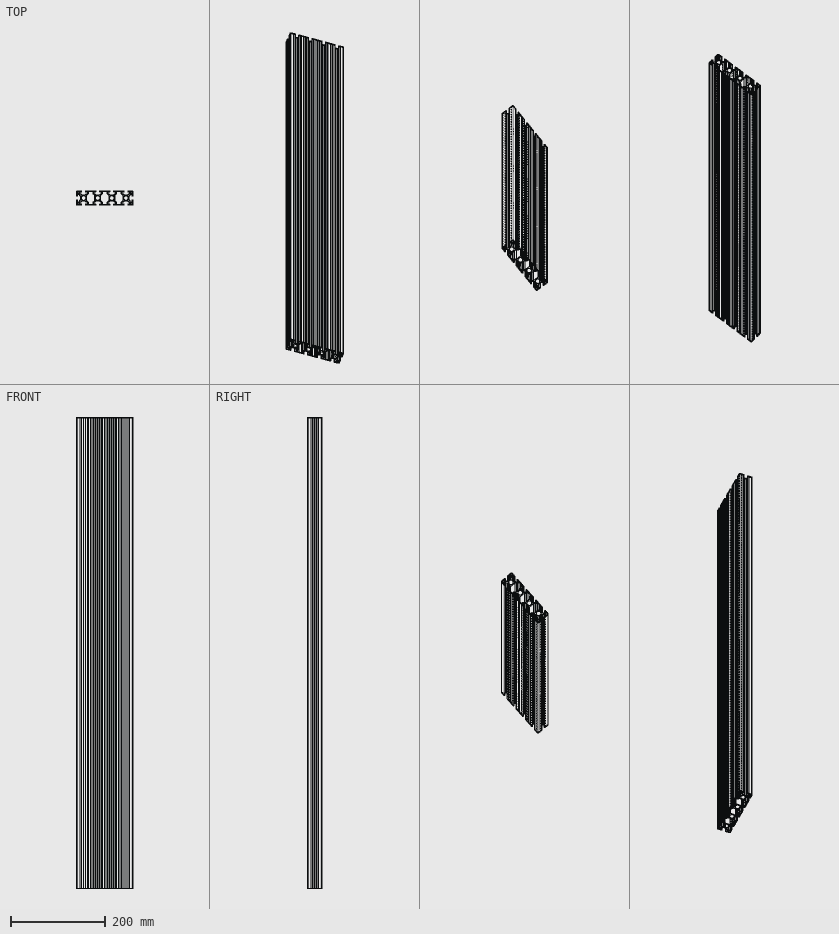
import cadquery as cq

LENGTH = 1000.0
PITCH = 30.0
MODULES = 4
WIDTH = MODULES * PITCH
DEPTH = PITCH
CORNER_RADIUS = 2.0

SLOT_WIDTH = 8.0
LIP_RADIUS = 0.5
LIP_THICKNESS = 2.0
LIP_INNER_CHAMFER = 0.5
CAVITY_HALF_WIDTH = 8.0
CAVITY_SIDE_DEPTH = 5.8
SHOULDER_HALF_WIDTH = 5.5
SHOULDER_DEPTH = 6.6
FLOOR_HALF_WIDTH = 4.0
SLOT_DEPTH = 8.5

GROOVE_DEPTH = 0.4
GROOVE_HALF_WIDTH = GROOVE_DEPTH

BORE_DIAMETER = 10.0
CORNER_HOLE_DIAMETER = 4.0
CORNER_HOLE_INSET = 3.5
CHAMBER_HALF_WIDTH = 8.5
CHAMBER_HALF_STRAIGHT = 6.0
CHAMBER_NECK_HALF_WIDTH = 4.6
CHAMBER_NECK_START = 9.5
CHAMBER_HALF_HEIGHT = 13.4

module_centres = [(i - (MODULES - 1) / 2) * PITCH for i in range(MODULES)]
joint_centres = [(i - (MODULES - 2) / 2) * PITCH for i in range(MODULES - 1)]


def prism(points):
    """Full-length prism over a closed outline."""
    return cq.Workplane("XY").polyline(points).close().extrude(LENGTH)


def mirrored_in_x(points):
    """Mirror image of a half outline, in the order that continues it."""
    return [(-x, y) for x, y in reversed(points)]


def groove_cutter():
    """V-groove sunk towards -Y from the plane Y = 0."""
    return prism([(GROOVE_HALF_WIDTH, 0), (0, -GROOVE_DEPTH), (-GROOVE_HALF_WIDTH, 0)])


def slot_cutter():
    """T-slot opening in the plane Y = 0 and sunk towards -Y, with rounded lips."""
    lip = SLOT_WIDTH / 2
    mouth = lip + LIP_RADIUS
    cavity = [
        (lip, -LIP_THICKNESS + LIP_INNER_CHAMFER),
        (lip + LIP_INNER_CHAMFER, -LIP_THICKNESS),
        (CAVITY_HALF_WIDTH, -LIP_THICKNESS),
        (CAVITY_HALF_WIDTH, -CAVITY_SIDE_DEPTH),
        (SHOULDER_HALF_WIDTH, -SHOULDER_DEPTH),
        (FLOOR_HALF_WIDTH, -SLOT_DEPTH),
    ]
    outline = cq.Workplane("XY").moveTo(mouth, 0)
    outline = outline.radiusArc((lip, -LIP_RADIUS), -LIP_RADIUS)
    for point in cavity + mirrored_in_x(cavity):
        outline = outline.lineTo(*point)
    outline = outline.lineTo(-lip, -LIP_RADIUS)
    outline = outline.radiusArc((-mouth, 0), -LIP_RADIUS)
    floor_groove = groove_cutter().translate((0, -SLOT_DEPTH, 0))
    return outline.close().extrude(LENGTH).union(floor_groove)


def chamber_cutter():
    """Hollow between two modules: a wide middle that tapers to a neck above and below."""
    quarter = [
        (CHAMBER_HALF_WIDTH, CHAMBER_HALF_STRAIGHT),
        (CHAMBER_NECK_HALF_WIDTH, CHAMBER_NECK_START),
        (CHAMBER_NECK_HALF_WIDTH, CHAMBER_HALF_HEIGHT),
    ]
    upper = quarter + mirrored_in_x(quarter)
    lower = [(-x, -y) for x, y in upper]
    return prism(upper + lower)


def turned(cutter, angle):
    """Cutter turned about the length axis."""
    return cutter.rotate((0, 0, 0), (0, 0, 1), angle)


def cut_long_faces(body, cutter, centres):
    """Cut the same shape into both wide faces at every given X position."""
    for x in centres:
        body = body.cut(cutter.translate((x, DEPTH / 2, 0)))
        body = body.cut(turned(cutter, 180).translate((x, -DEPTH / 2, 0)))
    return body


def round_holes(points, diameter):
    """Full-length round cutters at the given positions."""
    return cq.Workplane("XY").pushPoints(points).circle(diameter / 2).extrude(LENGTH)


body = cq.Workplane("XY").box(WIDTH, DEPTH, LENGTH, centered=(True, True, False))
body = body.edges("|Z").fillet(CORNER_RADIUS)

slot = slot_cutter()
body = cut_long_faces(body, slot, module_centres)
body = body.cut(turned(slot, -90).translate((WIDTH / 2, 0, 0)))
body = body.cut(turned(slot, 90).translate((-WIDTH / 2, 0, 0)))

body = cut_long_faces(body, groove_cutter(), joint_centres)
for x in joint_centres:
    body = body.cut(chamber_cutter().translate((x, 0, 0)))

body = body.cut(round_holes([(x, 0) for x in module_centres], BORE_DIAMETER))
corner_x = WIDTH / 2 - CORNER_HOLE_INSET
corner_y = DEPTH / 2 - CORNER_HOLE_INSET
corners = [(sx * corner_x, sy * corner_y) for sx in (-1, 1) for sy in (-1, 1)]
body = body.cut(round_holes(corners, CORNER_HOLE_DIAMETER))

result = cq.Workplane(body.solids().val())